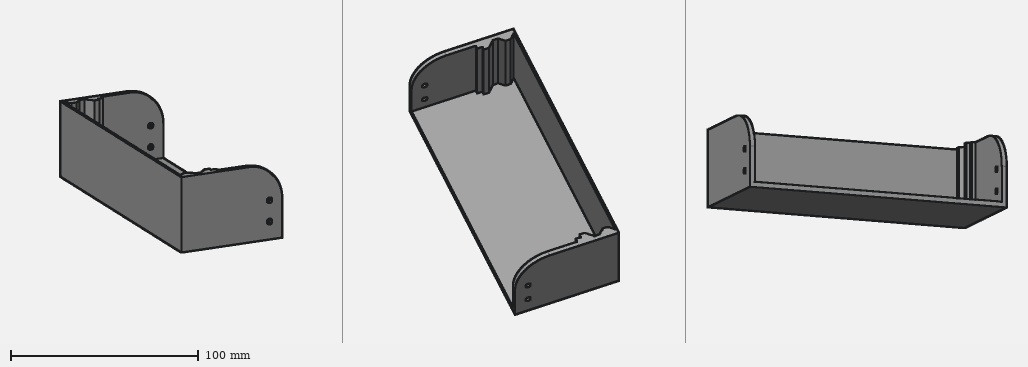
import cadquery as cq

LENGTH = 148.0
DEPTH = 60.0
HEIGHT = 42.3

END_WALL = 3.0
FRONT_WALL = 1.0
FLOOR = 3.0

CORNER_RADIUS = 20.0

HOLE_DIAMETER = 3.0
HOLE_FROM_BACK = 7.5
LOWER_HOLE_HEIGHT = 10.0
HOLE_SPACING = 12.0

FRONT_RIDGE = 5.9
BACK_RIDGE = 7.0
STEP = 5.0
FRONT_RIDGE_START = 4.0
FRONT_RIDGE_END = 7.0
GROOVE_START = 10.0
GROOVE_END = 13.0
BACK_RIDGE_START = 17.0
BACK_RIDGE_END = 20.0
STEP_END = 23.0


def make_shell():
    """Floor, front wall and two end walls, open at the top and back."""
    block = cq.Workplane("XY").box(LENGTH, DEPTH, HEIGHT, centered=(True, False, False))
    cavity = (
        cq.Workplane("XY")
        .box(LENGTH - 2 * END_WALL, DEPTH, HEIGHT, centered=(True, False, False))
        .translate((0, FRONT_WALL, FLOOR))
    )
    rounded_block = block.edges("|X and >Y and >Z").fillet(CORNER_RADIUS)
    return rounded_block.cut(cavity)


def make_left_moulding():
    """Vertical moulding standing on the floor against the left end wall."""
    outline = [
        (0, FRONT_WALL),
        (END_WALL, FRONT_WALL),
        (FRONT_RIDGE, FRONT_RIDGE_START),
        (FRONT_RIDGE, FRONT_RIDGE_END),
        (END_WALL, GROOVE_START),
        (END_WALL, GROOVE_END),
        (BACK_RIDGE, BACK_RIDGE_START),
        (BACK_RIDGE, BACK_RIDGE_END),
        (STEP, BACK_RIDGE_END),
        (STEP, STEP_END),
        (0, STEP_END),
    ]
    moulding = cq.Workplane("XY").polyline(outline).close().extrude(HEIGHT)
    return moulding.translate((-LENGTH / 2, 0, 0))


def make_screw_holes():
    """Cylinders along X that pass through both end walls."""
    hole_y = DEPTH - HOLE_FROM_BACK
    upper_hole_height = LOWER_HOLE_HEIGHT + HOLE_SPACING
    return (
        cq.Workplane("YZ")
        .pushPoints([(hole_y, LOWER_HOLE_HEIGHT), (hole_y, upper_hole_height)])
        .circle(HOLE_DIAMETER / 2)
        .extrude(LENGTH / 2, both=True)
    )


left_moulding = make_left_moulding()
right_moulding = left_moulding.mirror("YZ")
result = make_shell().union(left_moulding).union(right_moulding).cut(make_screw_holes())